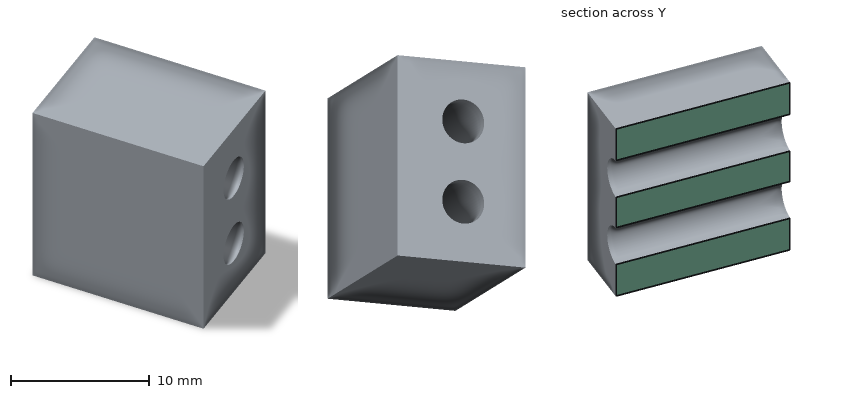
import cadquery as cq

length_x = 13.84
width_y = 9.92
height_z = 14.91

hole_diameter = 3.25
hole_spacing = 5.98
hole_offset_y = -0.13

block = cq.Workplane("XY").box(length_x, width_y, height_z)

hole_centers = [(hole_offset_y, side * hole_spacing / 2) for side in (-1, 1)]
holes = (
    cq.Workplane("YZ")
    .pushPoints(hole_centers)
    .circle(hole_diameter / 2)
    .extrude(length_x, both=True)
)

result = block.cut(holes)